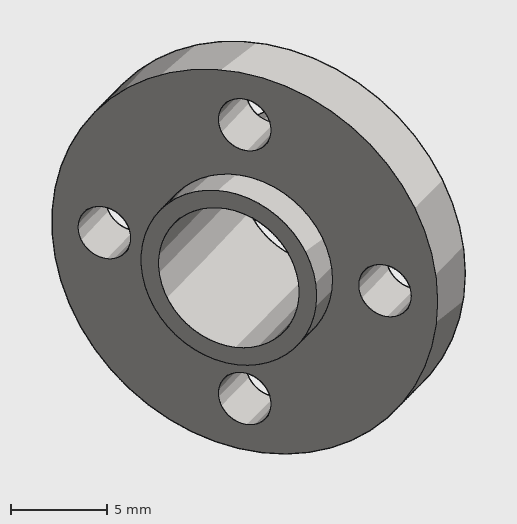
import cadquery as cq

flange_diameter = 22.0
flange_thickness = 3.5

hub_diameter = 10.0
bore_diameter = 8.0
front_hub_length = 2.0
back_hub_length = 5.0
total_length = front_hub_length + flange_thickness + back_hub_length

bolt_hole_count = 4
bolt_hole_diameter = 3.0
bolt_circle_diameter = 16.0


def cylinder_along_y(diameter, start_y, length):
    """Solid cylinder centred on the Y axis, running from start_y toward +Y."""
    return (
        cq.Workplane("XZ", origin=(0, start_y, 0))
        .circle(diameter / 2)
        .extrude(-length)
    )


def bolt_holes():
    """Cutters for the bolt holes, evenly spaced and starting on the X axis."""
    return (
        cq.Workplane("XZ", origin=(0, front_hub_length, 0))
        .polarArray(bolt_circle_diameter / 2, 0, 360, bolt_hole_count)
        .circle(bolt_hole_diameter / 2)
        .extrude(-flange_thickness)
    )


flange = cylinder_along_y(flange_diameter, front_hub_length, flange_thickness)
hub = cylinder_along_y(hub_diameter, 0, total_length)
bore = cylinder_along_y(bore_diameter, 0, total_length)

result = flange.union(hub).cut(bore).cut(bolt_holes())